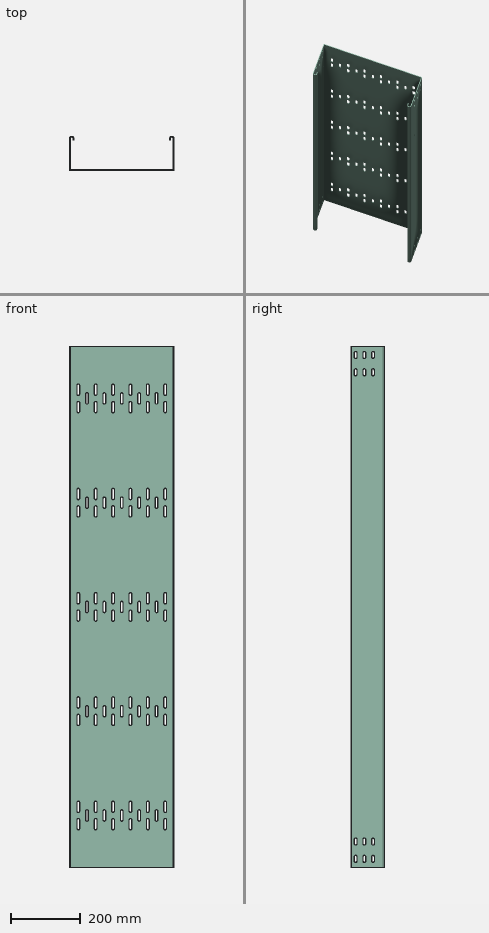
import cadquery as cq

length = 1500.0
width = 300.0
height = 98.0
sheet = 2.0

lip_width = 12.0
lip_depth = 10.0
bend_radius = 5.0

slot_width = 7.0

group_count = 5
group_pitch = length / group_count
slot_columns = 6
column_pitch = width / slot_columns
row_offset = column_pitch / 2
base_slot_length = column_pitch / 2 + slot_width

side_slot_straight = 12.9
side_slot_length = side_slot_straight + slot_width
side_columns = 3
side_column_pitch = column_pitch / 2
side_first_column = 14.0
side_row_distances = (side_column_pitch, 3 * side_column_pitch)

base_y = -height / 2
top_y = height / 2
half_width = width / 2
half_length = length / 2


def tray_body():
    """Channel with a flat base, two flanges and lips folded inward and down."""
    base = cq.Workplane("XY").box(width, sheet, length).translate((0, base_y + sheet / 2, 0))
    inner_radius = bend_radius - sheet
    outer_x = -half_width
    lip_x = outer_x + lip_width
    flange = (
        cq.Workplane("XY", origin=(0, 0, -half_length))
        .moveTo(outer_x, base_y)
        .lineTo(outer_x, top_y - bend_radius)
        .radiusArc((outer_x + bend_radius, top_y), bend_radius)
        .lineTo(lip_x - bend_radius, top_y)
        .radiusArc((lip_x, top_y - bend_radius), bend_radius)
        .lineTo(lip_x, top_y - lip_depth)
        .lineTo(lip_x - sheet, top_y - lip_depth)
        .lineTo(lip_x - sheet, top_y - bend_radius)
        .radiusArc((lip_x - bend_radius, top_y - sheet), -inner_radius)
        .lineTo(outer_x + bend_radius, top_y - sheet)
        .radiusArc((outer_x + sheet, top_y - bend_radius), -inner_radius)
        .lineTo(outer_x + sheet, base_y)
        .close()
        .extrude(length)
    )
    return base.union(flange).union(flange.mirror("YZ"))


def centered_positions(count, pitch):
    """Evenly spaced positions, symmetric about zero."""
    return [(i - (count - 1) / 2) * pitch for i in range(count)]


def slot_cutter(points, slot_length, plane, depth):
    """Round-ended slots, long along Z, cutting evenly to both sides of the plane."""
    slots = cq.Workplane(plane).pushPoints(points).slot2D(slot_length, slot_width, 90)
    return slots.extrude(depth / 2, both=True)


def base_slots():
    """Groups of two slot rows with a staggered row midway between them."""
    outer_x = centered_positions(slot_columns, column_pitch)
    middle_x = centered_positions(slot_columns - 1, column_pitch)
    points = []
    for z in centered_positions(group_count, group_pitch):
        points += [(x, z - row_offset) for x in outer_x]
        points += [(x, z) for x in middle_x]
        points += [(x, z + row_offset) for x in outer_x]
    return slot_cutter(points, base_slot_length, "XZ", 2 * height)


def flange_slots():
    """Two rows of slots at each end, passing through both flanges."""
    row_z = [end * (half_length - distance) for end in (-1, 1) for distance in side_row_distances]
    column_y = [base_y + side_first_column + i * side_column_pitch for i in range(side_columns)]
    points = [(y, z) for z in row_z for y in column_y]
    return slot_cutter(points, side_slot_length, "YZ", 2 * width)


result = tray_body().cut(base_slots()).cut(flange_slots())